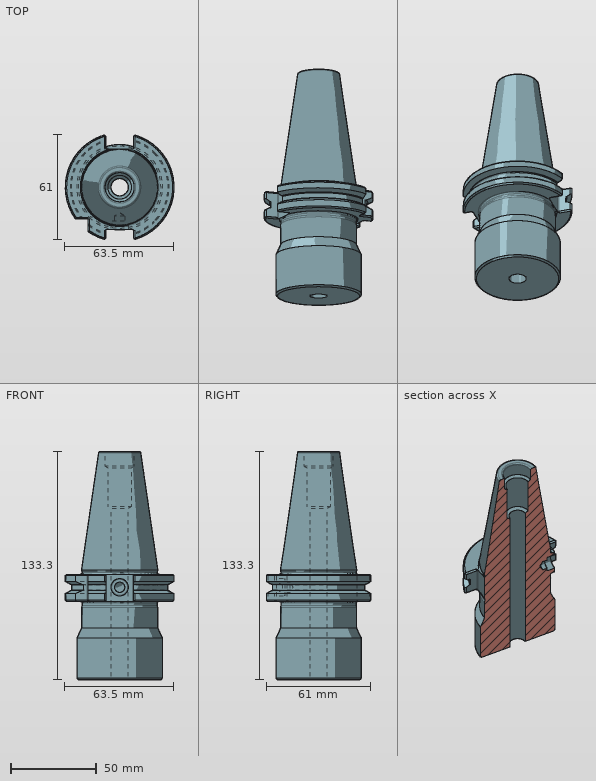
import cadquery as cq
import math

total_height = 133.25
gauge_z = 64.85
gauge_radius = 44.45 / 2
taper_slope = 3.5 / 24
taper_end_fillet = 0.85

flange_radius = 63.55 / 2
flange_top = gauge_z - 3.2
flange_thickness = 15.9
flange_bottom = flange_top - flange_thickness
edge_chamfer = 0.85

groove_z = gauge_z - 10.95
groove_root_radius = 56.25 / 2
groove_root_half_width = 1.83
groove_rim_half_width = 3.58
groove_flank_angle = 30
groove_root_fillet = 0.4
groove_flank_depth = (groove_rim_half_width - groove_root_half_width) / math.tan(
    math.radians(groove_flank_angle)
)
groove_wall_radius = flange_radius - groove_flank_depth

neck_radius = 43.95 / 2
neck_step = 1.2
neck_fillet = 1.0
lower_neck_end = 43.55

nose_radius = 50.0 / 2
nose_chamfer = 1.0
nose_cone_start = 24.4
nose_cone_end = 30.4

bore_radius = 10.0 / 2
thread_radius = 13.84 / 2
thread_depth = 32.0
counterbore_radius = 17.0 / 2
counterbore_depth = 8.5
counterbore_rim_fillet = 0.85
counterbore_cone_height = 1.1
drill_tip_angle = 118
drill_tip_slope = 1 / math.tan(math.radians(drill_tip_angle / 2))

slot_half_width = 8.05
slot_corner_fillet = 0.5
slot_floor_back = 22.25
slot_floor_front = 24.7

notch_offset = 18.5
notch_corner_fillet = 0.5

side_hole_z = gauge_z - 10.8
side_hole_radius = 10.11 / 2
side_hole_depth = 5.0
side_hole_corner_fillet = 0.4
side_pilot_radius = 6.0 / 2
side_pilot_depth = 3.0

cutter_reach = flange_radius + 5.0


def make_body():
    """Turned outline of the holder, revolved about Z."""
    groove_root_flat = groove_root_half_width - groove_root_fillet
    taper_start_z = flange_top + 2 * neck_step
    taper_start_radius = gauge_radius + (gauge_z - taper_start_z) * taper_slope
    taper_end_radius = gauge_radius - (total_height - gauge_z) * taper_slope
    return (
        cq.Workplane("XZ")
        .moveTo(0, 0)
        .lineTo(nose_radius - nose_chamfer, 0)
        .lineTo(nose_radius, nose_chamfer)
        .lineTo(nose_radius, nose_cone_start)
        .lineTo(gauge_radius, nose_cone_end)
        .lineTo(gauge_radius, lower_neck_end - neck_step)
        .lineTo(neck_radius, lower_neck_end)
        .lineTo(neck_radius, flange_bottom - neck_fillet)
        .radiusArc((neck_radius + neck_fillet, flange_bottom), neck_fillet)
        .lineTo(flange_radius - edge_chamfer, flange_bottom)
        .lineTo(flange_radius, flange_bottom + edge_chamfer)
        .lineTo(flange_radius, groove_z - groove_rim_half_width)
        .lineTo(groove_wall_radius, groove_z - groove_root_half_width)
        .lineTo(groove_root_radius + groove_root_fillet, groove_z - groove_root_half_width)
        .radiusArc((groove_root_radius, groove_z - groove_root_flat), groove_root_fillet)
        .lineTo(groove_root_radius, groove_z + groove_root_flat)
        .radiusArc(
            (groove_root_radius + groove_root_fillet, groove_z + groove_root_half_width),
            groove_root_fillet,
        )
        .lineTo(groove_wall_radius, groove_z + groove_root_half_width)
        .lineTo(flange_radius, groove_z + groove_rim_half_width)
        .lineTo(flange_radius, flange_top - edge_chamfer)
        .lineTo(flange_radius - edge_chamfer, flange_top)
        .lineTo(neck_radius + neck_fillet, flange_top)
        .radiusArc((neck_radius, flange_top + neck_fillet), neck_fillet)
        .lineTo(neck_radius, flange_top + neck_step)
        .lineTo(taper_start_radius, taper_start_z)
        .lineTo(taper_end_radius, total_height)
        .lineTo(0, total_height)
        .close()
        .revolve(360, (0, 0, 0), (0, 1, 0))
        .faces(">Z")
        .edges()
        .fillet(taper_end_fillet)
    )


def make_bore():
    """Through bore with the threaded section and counterbore at the small end."""
    counterbore_floor = total_height - counterbore_depth
    thread_floor = total_height - thread_depth
    tip_height = (thread_radius - bore_radius) * drill_tip_slope
    return (
        cq.Workplane("XZ")
        .moveTo(0, 0)
        .lineTo(bore_radius, 0)
        .lineTo(bore_radius, thread_floor - tip_height)
        .lineTo(thread_radius, thread_floor)
        .lineTo(thread_radius, counterbore_floor - counterbore_cone_height)
        .lineTo(counterbore_radius, counterbore_floor)
        .lineTo(counterbore_radius, total_height - counterbore_rim_fillet)
        .radiusArc(
            (counterbore_radius + counterbore_rim_fillet, total_height),
            counterbore_rim_fillet,
        )
        .lineTo(0, total_height)
        .close()
        .revolve(360, (0, 0, 0), (0, 1, 0))
    )


def flange_edge_cutters(plane, wall, start, end):
    """Diamond-section bars that chamfer the bottom and top edges of a flange wall.

    The wall lies at the given offset; the bars run from start to end, along Y for the
    "XZ" plane and along X for the "YZ" plane.
    """
    if plane == "XZ":
        origin = (0, end, 0)
    else:
        origin = (start, 0, 0)
    bars = cq.Workplane(plane, origin=origin)
    for z in (flange_bottom, flange_top):
        bars = (
            bars.moveTo(wall - edge_chamfer, z)
            .lineTo(wall, z + edge_chamfer)
            .lineTo(wall + edge_chamfer, z)
            .lineTo(wall, z - edge_chamfer)
            .close()
        )
    return bars.extrude(end - start)


def make_slot(floor):
    """Drive slot opening toward +Y, with chamfered walls and rounded floor corners.

    It also clears the neck fillets just above and below the flange.
    """
    length = cutter_reach - floor
    cutter = (
        cq.Workplane("XY", origin=(0, floor + length / 2, flange_bottom - neck_fillet))
        .rect(2 * slot_half_width, length)
        .extrude(flange_thickness + 2 * neck_fillet)
        .edges("|Z and <Y")
        .fillet(slot_corner_fillet)
    )
    rim_x = slot_half_width + edge_chamfer
    rim_y = math.sqrt(flange_radius**2 - rim_x**2)
    flare_start = rim_y - edge_chamfer
    flare_end_x = slot_half_width + cutter_reach - flare_start
    flare = (
        cq.Workplane("XY", origin=(0, 0, flange_bottom))
        .moveTo(-slot_half_width, flare_start)
        .lineTo(slot_half_width, flare_start)
        .lineTo(flare_end_x, cutter_reach)
        .lineTo(-flare_end_x, cutter_reach)
        .close()
        .extrude(flange_thickness)
    )
    cutter = cutter.union(flare)
    for wall in (-slot_half_width, slot_half_width):
        bars = flange_edge_cutters("XZ", wall, floor + slot_corner_fillet, cutter_reach)
        cutter = cutter.union(bars)
    return cutter


def make_notch():
    """Square corner notch through the flange, chamfered along its top and bottom edges."""
    cutter = (
        cq.Workplane("XY", origin=(-cutter_reach, -cutter_reach, flange_bottom))
        .rect(cutter_reach - notch_offset, cutter_reach - notch_offset, centered=False)
        .extrude(flange_thickness)
        .edges("|Z and >X and >Y")
        .fillet(notch_corner_fillet)
    )
    for plane in ("XZ", "YZ"):
        cutter = cutter.union(flange_edge_cutters(plane, -notch_offset, -cutter_reach, -notch_offset))
    return cutter


def make_side_hole():
    """Flat-bottomed hole with a smaller pointed pilot, entering from the -Y slot floor."""
    floor_y = side_hole_depth - slot_floor_front
    pilot_end = floor_y + side_pilot_depth
    return (
        cq.Workplane("XY")
        .moveTo(0, -slot_floor_front)
        .lineTo(side_hole_radius, -slot_floor_front)
        .lineTo(side_hole_radius, floor_y - side_hole_corner_fillet)
        .radiusArc((side_hole_radius - side_hole_corner_fillet, floor_y), -side_hole_corner_fillet)
        .lineTo(side_pilot_radius, floor_y)
        .lineTo(side_pilot_radius, pilot_end)
        .lineTo(0, pilot_end + side_pilot_radius * drill_tip_slope)
        .close()
        .revolve(360, (0, 0, 0), (0, 1, 0))
        .translate((0, 0, side_hole_z))
    )


back_slot = make_slot(slot_floor_back)
front_slot = make_slot(slot_floor_front).rotate((0, 0, 0), (0, 0, 1), 180)

result = (
    make_body()
    .cut(make_bore())
    .cut(back_slot)
    .cut(front_slot)
    .cut(make_notch())
    .cut(make_side_hole())
)